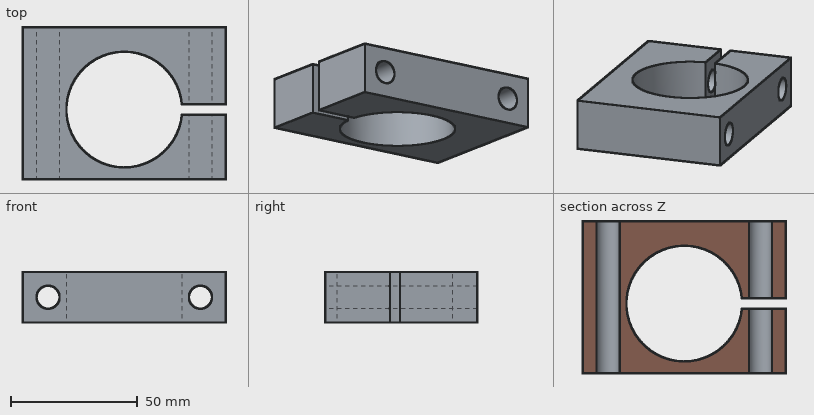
import cadquery as cq

length = 80.0
width = 60.0
height = 20.0

bore_diameter = 45.5
bore_y = -2.5

slit_width = 4.0

screw_hole_diameter = 9.0
screw_hole_end_distance = 10.0
screw_hole_x = length / 2 - screw_hole_end_distance


def block():
    return cq.Workplane("XY").box(length, width, height)


def bore():
    return (
        cq.Workplane("XY")
        .center(0, bore_y)
        .circle(bore_diameter / 2)
        .extrude(height / 2, both=True)
    )


def slit():
    slit_length = length / 2
    return (
        cq.Workplane("XY")
        .center(slit_length / 2, bore_y)
        .rect(slit_length, slit_width)
        .extrude(height / 2, both=True)
    )


def screw_holes():
    return (
        cq.Workplane("XZ")
        .pushPoints([(-screw_hole_x, 0), (screw_hole_x, 0)])
        .circle(screw_hole_diameter / 2)
        .extrude(width / 2, both=True)
    )


result = block().cut(bore()).cut(slit()).cut(screw_holes())